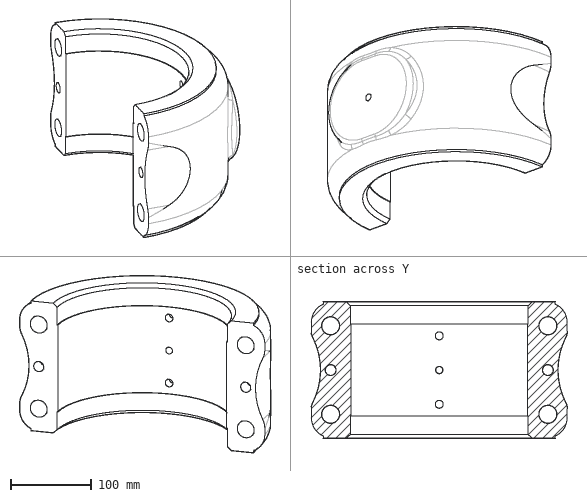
import cadquery as cq
import math

outer_radius = 160.0
half_height = 170.0 / 2
end_face_radius = 145.3
shoulder_start_z = 59.5
rim_step = 3.0

land_radius = 110.0
land_half_height = 57.0
relief_radius = 111.0
bore_chamfer_radius = 116.0
bore_chamfer_height = 4.8

bolt_x = 135.0
bolt_z = 55.0
bolt_diameter = 22.0
bolt_depth = 48.0
dowel_diameter = 13.0
dowel_depth = 25.5
drill_tip_angle = 118.0

oil_hole_diameter = 8.5
pin_diameter = 10.0
pin_z = 42.5
pin_depth = 16.0

scallop_floor_x = 148.0
scallop_radius = 89.5
scallop_half_width = 51.2

seat_y = 162.0
seat_length = 140.0
seat_width = 117.8
seat_base_y = 128.0
seat_edge_radius = 6.0
seat_root_radius = 8.0
match_tolerance = 0.05


def make_half_ring():
    """Revolve the ring section through half a turn."""
    shoulder_end_z = half_height - rim_step
    drop = outer_radius - end_face_radius
    rise = shoulder_end_z - shoulder_start_z
    shoulder_radius = (drop**2 + rise**2) / (2 * drop)
    half_sweep = math.atan2(rise, shoulder_radius - drop) / 2
    middle_x = outer_radius - shoulder_radius * (1 - math.cos(half_sweep))
    middle_z = shoulder_start_z + shoulder_radius * math.sin(half_sweep)
    relief_end_z = half_height - bore_chamfer_height
    section = (
        cq.Workplane("XZ")
        .moveTo(outer_radius, -shoulder_start_z)
        .lineTo(outer_radius, shoulder_start_z)
        .threePointArc((middle_x, middle_z), (end_face_radius, shoulder_end_z))
        .lineTo(end_face_radius, half_height)
        .lineTo(bore_chamfer_radius, half_height)
        .lineTo(relief_radius, relief_end_z)
        .lineTo(relief_radius, land_half_height)
        .lineTo(land_radius, land_half_height)
        .lineTo(land_radius, -land_half_height)
        .lineTo(relief_radius, -land_half_height)
        .lineTo(relief_radius, -relief_end_z)
        .lineTo(bore_chamfer_radius, -half_height)
        .lineTo(end_face_radius, -half_height)
        .lineTo(end_face_radius, -shoulder_end_z)
        .threePointArc((middle_x, -middle_z), (outer_radius, -shoulder_start_z))
        .close()
    )
    return section.revolve(180, (0, 0, 0), (0, 1, 0))


def is_seat_root(edge):
    """True for an edge on the outside cylinder that lies within the seat outline."""
    points = [edge.positionAt(fraction) for fraction in (0, 0.3, 0.7, 1)]
    on_cylinder = all(abs(math.hypot(p.x, p.y) - outer_radius) < match_tolerance for p in points)
    in_length = all(abs(p.x) < seat_length / 2 + match_tolerance for p in points)
    in_width = all(abs(p.z) < seat_width / 2 + match_tolerance for p in points)
    return on_cylinder and in_length and in_width


def add_seat(ring):
    """Join the oblong seat, with a rounded rim and a blended root."""
    seat = (
        cq.Workplane("XZ", origin=(0, seat_base_y, 0))
        .slot2D(seat_length, seat_width)
        .extrude(seat_base_y - seat_y)
        .faces(">Y")
        .edges()
        .fillet(seat_edge_radius)
    )
    joined = ring.union(seat)
    root_edges = [edge for edge in joined.edges().vals() if is_seat_root(edge)]
    return joined.newObject(root_edges).fillet(seat_root_radius)


def make_scallop():
    """Cutter for the +X side: a concave arc eased into the outside by tangent arcs."""
    centre_x = scallop_floor_x + scallop_radius
    gap = centre_x - outer_radius
    clearance = 2 * (scallop_radius - gap)
    ease_radius = (gap**2 + scallop_half_width**2 - scallop_radius**2) / clearance
    span = scallop_radius + ease_radius
    touch_x = centre_x - scallop_radius * (gap + ease_radius) / span
    touch_z = scallop_radius * scallop_half_width / span
    ease_angle = math.atan2(scallop_half_width - touch_z, touch_x - outer_radius + ease_radius) / 2
    ease_x = outer_radius - ease_radius * (1 - math.cos(ease_angle))
    ease_z = scallop_half_width - ease_radius * math.sin(ease_angle)
    return (
        cq.Workplane("XZ")
        .moveTo(outer_radius, -scallop_half_width)
        .threePointArc((ease_x, -ease_z), (touch_x, -touch_z))
        .threePointArc((scallop_floor_x, 0), (touch_x, touch_z))
        .threePointArc((ease_x, ease_z), (outer_radius, scallop_half_width))
        .close()
        .extrude(-outer_radius / 2)
    )


def make_drilling(x, z, diameter, depth):
    """Blind hole from the joint face with a conical bottom."""
    radius = diameter / 2
    tip = radius / math.tan(math.radians(drill_tip_angle / 2))
    outline = [(0, 0), (radius, 0), (radius, depth), (0, depth + tip)]
    profile = cq.Workplane("XY").polyline(outline).close()
    return profile.revolve(360, (0, 0, 0), (0, 1, 0)).translate((x, 0, z))


def make_bore_hole(z, diameter, end_y):
    """Flat-ended hole from the bore towards the crown."""
    return cq.Workplane("XZ", origin=(0, 0, z)).circle(diameter / 2).extrude(-end_y)


result = add_seat(make_half_ring())

scallop = make_scallop()
result = result.cut(scallop).cut(scallop.mirror("YZ"))

for side in (-1, 1):
    result = result.cut(make_drilling(side * bolt_x, 0, dowel_diameter, dowel_depth))
    for end in (-1, 1):
        result = result.cut(make_drilling(side * bolt_x, end * bolt_z, bolt_diameter, bolt_depth))

result = result.cut(make_bore_hole(0, oil_hole_diameter, seat_y))
for end in (-1, 1):
    result = result.cut(make_bore_hole(end * pin_z, pin_diameter, land_radius + pin_depth))